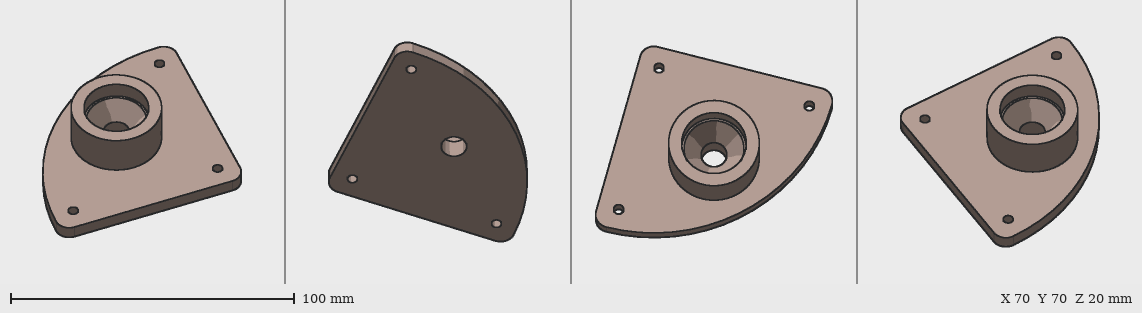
import cadquery as cq
import math

plate_size = 70.0
plate_thickness = 5.0
corner_radius = 5.0
arc_radius = plate_size - corner_radius

total_height = 20.0
boss_diameter = 32.0
boss_center = plate_size / 2

socket_diameter = 22.8
socket_depth = 6.0
cone_top_diameter = 21.15
outlet_diameter = 9.0
outlet_length = 8.0

hole_diameter = 3.5
hole_inset = 7.55


def make_plate():
    """Plate whose round front edge runs smoothly into the corner rounds."""
    arc_center = plate_size - corner_radius
    arc_middle = arc_center - arc_radius * math.sqrt(0.5)
    round_middle = corner_radius * (1 - math.sqrt(0.5))
    return (
        cq.Workplane("XY")
        .moveTo(0, arc_center)
        .threePointArc((arc_middle, arc_middle), (arc_center, 0))
        .threePointArc((plate_size - round_middle, round_middle), (plate_size, corner_radius))
        .lineTo(plate_size, arc_center)
        .threePointArc(
            (plate_size - round_middle, plate_size - round_middle), (arc_center, plate_size)
        )
        .lineTo(corner_radius, plate_size)
        .threePointArc((round_middle, plate_size - round_middle), (0, arc_center))
        .close()
        .extrude(plate_thickness)
    )


def make_boss():
    return (
        cq.Workplane("XY")
        .center(boss_center, boss_center)
        .circle(boss_diameter / 2)
        .extrude(total_height)
    )


def make_bore():
    """Socket, cone and outlet as one revolved cutter about the boss axis."""
    ledge_height = total_height - socket_depth
    return (
        cq.Workplane("XZ")
        .moveTo(0, 0)
        .lineTo(outlet_diameter / 2, 0)
        .lineTo(outlet_diameter / 2, outlet_length)
        .lineTo(cone_top_diameter / 2, ledge_height)
        .lineTo(socket_diameter / 2, ledge_height)
        .lineTo(socket_diameter / 2, total_height)
        .lineTo(0, total_height)
        .close()
        .revolve(360, (0, 0, 0), (0, 1, 0))
        .translate((boss_center, boss_center, 0))
    )


def make_mounting_holes():
    near = hole_inset
    far = plate_size - hole_inset
    return (
        cq.Workplane("XY")
        .pushPoints([(near, far), (far, far), (far, near)])
        .circle(hole_diameter / 2)
        .extrude(plate_thickness)
    )


result = make_plate().union(make_boss()).cut(make_bore()).cut(make_mounting_holes())